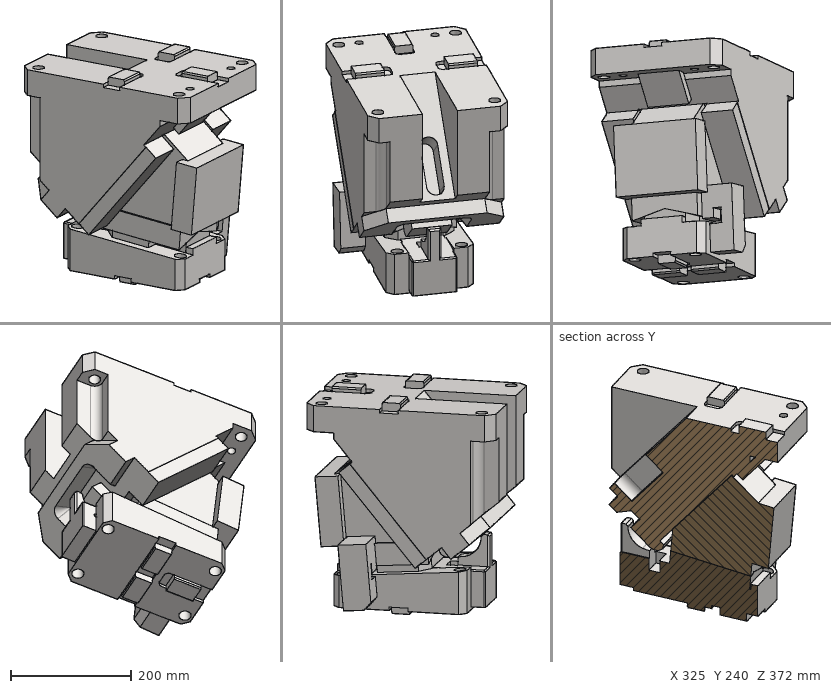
import cadquery as cq
import math


SLIDE_ANGLE = math.radians(50)
RIDGE_ANGLE = math.radians(5)
ROOF_ANGLE = math.radians(15)

SLIDE_X, SLIDE_Z = 116.0, 110.5
RIDGE_X, RIDGE_Z = 127.0, 88.0

ALONG_SLIDE = cq.Vector(math.cos(SLIDE_ANGLE), 0, math.sin(SLIDE_ANGLE))
OUT_OF_SLIDE = cq.Vector(math.sin(SLIDE_ANGLE), 0, -math.cos(SLIDE_ANGLE))
ALONG_RIDGE = cq.Vector(math.cos(RIDGE_ANGLE), 0, -math.sin(RIDGE_ANGLE))
ABOVE_RIDGE = cq.Vector(math.sin(RIDGE_ANGLE), 0, math.cos(RIDGE_ANGLE))
SLIDE_ORIGIN = cq.Vector(SLIDE_X, 0, SLIDE_Z)
RIDGE_ORIGIN = cq.Vector(RIDGE_X, 0, RIDGE_Z)


def slide_point(along, out):
    """(X, Z) of a point given along and out of the slideway."""
    point = SLIDE_ORIGIN + ALONG_SLIDE * along + OUT_OF_SLIDE * out
    return point.x, point.z


def ridge_point(along, above):
    """(X, Z) of a point given along and above the ridge."""
    point = RIDGE_ORIGIN + ALONG_RIDGE * along + ABOVE_RIDGE * above
    return point.x, point.z


def side_prism(points, y_low, y_high):
    """An (X, Z) outline made solid between two Y positions."""
    return cq.Workplane("XZ", origin=(0, y_low, 0)).polyline(points).close().extrude(y_low - y_high)


def box(x_low, x_high, y_low, y_high, z_low, z_high):
    size = (x_high - x_low, y_high - y_low, z_high - z_low)
    return cq.Workplane("XY").box(*size, centered=False).translate((x_low, y_low, z_low))


def ridge_section(along=0):
    """Workplane across the ridge: local x is Y, local y is the height above the ridge."""
    origin = RIDGE_ORIGIN + ALONG_RIDGE * along
    return cq.Workplane(cq.Plane(origin=origin, xDir=(0, 1, 0), normal=ALONG_RIDGE))


KEY_LENGTH = 50.0
KEY_WIDTH = 32.0
KEY_STAND = 8.5
KEY_SEAT = 6.0
KEY_END_ROOM = 15.5
KEY_SLOT_RADIUS = 8.0
KEY_CHAMFER_SIDE, KEY_CHAMFER_HEIGHT = 1.5, 3.0


def key():
    """A key along X with its inner end at X = 0 and its mounting face at Z = 0."""
    half = KEY_WIDTH / 2
    inset = half - KEY_CHAMFER_SIDE
    shoulder = KEY_STAND - KEY_CHAMFER_HEIGHT
    section = [(-half, -KEY_SEAT), (half, -KEY_SEAT), (half, shoulder),
               (inset, KEY_STAND), (-inset, KEY_STAND), (-half, shoulder)]
    return cq.Workplane("YZ").polyline(section).close().extrude(KEY_LENGTH)


def key_slot(open_length):
    """The slot of that key; it runs open_length from the inner end of the key to +X."""
    slot = box(-KEY_END_ROOM, open_length, -KEY_WIDTH / 2, KEY_WIDTH / 2, -KEY_SEAT, KEY_STAND)
    return slot.edges("|Z and <X").fillet(KEY_SLOT_RADIUS)


HEIGHT = 372
PLATE_LENGTH = 325.0
PLATE_WIDTH = 240.0
PLATE_THICKNESS = 45.0
PLATE_TOP = HEIGHT - KEY_STAND
PLATE_BOTTOM = PLATE_TOP - PLATE_THICKNESS
PLATE_CHAMFER = 15.5
HALF_PLATE = PLATE_WIDTH / 2

BODY_RIGHT = 275.0
SLIDEWAY_LENGTH = 204.2
SLIDEWAY_RAISE = 5.2
SLIDER_END = 205.5
CHANNEL_HALF_WIDTH = 62.0
CHANNEL_DEPTH = 9.0

LUG_START, LUG_THICKNESS, LUG_HALF_WIDTH = 215.0, 14.0, 37.2

GIB_THICKNESS = 25.0
GIB_INSET = 0.7

STOP_THICKNESS = 25.0
STOP_TOP, STOP_BOTTOM = -111.2, -34.5
STOP_CHAMFER = 35.5
RECESS_TOP = -92.5
RECESS_HALF_WIDTH, RECESS_FLOOR_HALF_WIDTH = 64.0, 49.5
RECESS_RADIUS = 15.5

NOSE_TOP, NOSE_BOTTOM = -58.5, 3.7
NOSE_REACH = 25.5
NOSE_HALF_WIDTH = 34.2
NOSE_RADIUS = 18.0

BOLT_INSET_X, BOLT_SPACING_X, BOLT_Y = 25.3, 275.0, 100.0
BOLT_DIAMETER = 19.5
BOLT_ROOM = 15.0
DOWEL_DIAMETER, DOWEL_Y = 13.5, 65.0

TROUGH_HALF_WIDTH = 30.0
TROUGH_FLOOR = -131.0
POCKET_CENTRE, POCKET_LENGTH, POCKET_WIDTH, POCKET_DEPTH = 60.0, 100.5, 30.0, 41.3

SIDE_KEY_X = 180.0
SIDE_KEY_INNER_Y = 54.5
END_KEY_INNER_X = 254.0


def slideway_x(z, out):
    """X where the line at a distance out of the slideway reaches height z."""
    start_x, start_z = slide_point(0, out)
    return start_x + (z - start_z) / math.tan(SLIDE_ANGLE)


def holder_blank():
    plate = box(0, PLATE_LENGTH, -HALF_PLATE, HALF_PLATE, PLATE_BOTTOM, PLATE_TOP)
    plate = plate.edges("|Z").chamfer(PLATE_CHAMFER)
    end_face_top = SLIDE_Z + SLIDE_X / math.tan(SLIDE_ANGLE)
    raise_x, raise_z = slide_point(0, -SLIDEWAY_RAISE)
    right_foot = raise_z + (BODY_RIGHT - raise_x) * math.tan(SLIDE_ANGLE)
    outline = [
        (0, PLATE_BOTTOM),
        (0, end_face_top),
        slide_point(0, 0),
        slide_point(SLIDEWAY_LENGTH, 0),
        slide_point(SLIDEWAY_LENGTH, -SLIDEWAY_RAISE),
        (BODY_RIGHT, right_foot),
        (BODY_RIGHT, PLATE_BOTTOM),
    ]
    body = side_prism(outline, -HALF_PLATE, HALF_PLATE)
    for side in (-1, 1):
        body = body.cut(bolt_room(side))
    return plate.union(body)


def bolt_room(side):
    """Corner clearance under the plate, rounded around the bolt."""
    wall_x = BOLT_INSET_X + BOLT_ROOM
    wall_y = BOLT_Y - BOLT_ROOM
    y_low, y_high = sorted((side * wall_y, side * HALF_PLATE))
    room = box(0, wall_x, y_low, y_high, 0, PLATE_BOTTOM)
    inner_edge = "|Z and >X and <Y" if side > 0 else "|Z and >X and >Y"
    return room.edges(inner_edge).fillet(BOLT_ROOM)


def lug():
    outer = LUG_THICKNESS - SLIDEWAY_RAISE
    outline = [
        slide_point(LUG_START, -SLIDEWAY_RAISE),
        slide_point(LUG_START, outer),
        (slideway_x(PLATE_BOTTOM, outer), PLATE_BOTTOM),
        (slideway_x(PLATE_BOTTOM, -SLIDEWAY_RAISE), PLATE_BOTTOM),
    ]
    return side_prism(outline, -LUG_HALF_WIDTH, LUG_HALF_WIDTH)


def slide_channel():
    outline = [slide_point(0, 0), slide_point(SLIDER_END, 0),
               slide_point(SLIDER_END, -CHANNEL_DEPTH), slide_point(0, -CHANNEL_DEPTH)]
    return side_prism(outline, -CHANNEL_HALF_WIDTH, CHANNEL_HALF_WIDTH)


def gib(side):
    outline = [slide_point(0, 0), slide_point(SLIDEWAY_LENGTH, 0),
               slide_point(SLIDEWAY_LENGTH, GIB_THICKNESS), slide_point(0, GIB_THICKNESS)]
    y_low, y_high = sorted((side * CHANNEL_HALF_WIDTH, side * (HALF_PLATE - GIB_INSET)))
    return side_prism(outline, y_low, y_high)


def stop_plate():
    """Plate on the lower end face, with cut upper corners and a flared recess below."""
    outer_face = SLIDE_ORIGIN - ALONG_SLIDE * STOP_THICKNESS
    plane = cq.Plane(origin=outer_face, xDir=OUT_OF_SLIDE, normal=ALONG_SLIDE)
    shoulder = HALF_PLATE - STOP_CHAMFER
    outline = [
        (STOP_BOTTOM, -HALF_PLATE),
        (STOP_BOTTOM, HALF_PLATE),
        (STOP_TOP + STOP_CHAMFER, HALF_PLATE),
        (STOP_TOP, shoulder),
        (STOP_TOP, -shoulder),
        (STOP_TOP + STOP_CHAMFER, -HALF_PLATE),
    ]
    plate = cq.Workplane(plane).polyline(outline).close().extrude(STOP_THICKNESS)
    flare = math.degrees(math.atan((RECESS_HALF_WIDTH - RECESS_FLOOR_HALF_WIDTH) / STOP_THICKNESS))
    recess_outline = (
        cq.Sketch()
        .push([(RECESS_TOP / 2, 0)])
        .rect(-RECESS_TOP, 2 * RECESS_HALF_WIDTH)
        .reset()
        .vertices()
        .fillet(RECESS_RADIUS)
    )
    recess = cq.Workplane(plane).placeSketch(recess_outline).extrude(STOP_THICKNESS, taper=flare)
    return plate.cut(recess)


def nose():
    """Rounded block in the middle of the lower end face."""
    turn = math.sqrt(0.5) * NOSE_RADIUS
    centre_along, centre_out = NOSE_RADIUS - NOSE_REACH, NOSE_BOTTOM - NOSE_RADIUS
    outline = (
        cq.Workplane("XZ", origin=(0, NOSE_HALF_WIDTH, 0))
        .moveTo(*slide_point(0, NOSE_TOP))
        .lineTo(*slide_point(-NOSE_REACH, NOSE_TOP))
        .lineTo(*slide_point(-NOSE_REACH, centre_out))
        .threePointArc(slide_point(centre_along - turn, centre_out + turn),
                       slide_point(centre_along, NOSE_BOTTOM))
        .lineTo(*slide_point(0, 0))
        .close()
    )
    return outline.extrude(2 * NOSE_HALF_WIDTH)


def trough():
    floor_top_x = slideway_x(PLATE_TOP, TROUGH_FLOOR)
    floor_start_x, floor_start_z = slide_point(0, TROUGH_FLOOR)
    outline = [(floor_top_x, PLATE_TOP), (floor_start_x, floor_start_z), (0, floor_start_z), (0, PLATE_TOP)]
    return side_prism(outline, -TROUGH_HALF_WIDTH, TROUGH_HALF_WIDTH)


def trough_pocket():
    floor = SLIDE_ORIGIN + OUT_OF_SLIDE * TROUGH_FLOOR + ALONG_SLIDE * POCKET_CENTRE
    plane = cq.Plane(origin=floor, xDir=ALONG_SLIDE, normal=OUT_OF_SLIDE)
    return cq.Workplane(plane).slot2D(POCKET_LENGTH, POCKET_WIDTH).extrude(POCKET_DEPTH)


def plate_holes():
    right_x = BOLT_INSET_X + BOLT_SPACING_X
    bolt_places = [(x, y) for x in (BOLT_INSET_X, right_x) for y in (-BOLT_Y, BOLT_Y)]
    dowel_places = [(right_x, -DOWEL_Y), (right_x, DOWEL_Y)]
    plane = cq.Workplane("XY", origin=(0, 0, PLATE_BOTTOM))
    bolts = plane.pushPoints(bolt_places).circle(BOLT_DIAMETER / 2).extrude(PLATE_THICKNESS)
    dowels = plane.pushPoints(dowel_places).circle(DOWEL_DIAMETER / 2).extrude(PLATE_THICKNESS)
    return bolts.union(dowels)


def place_top_keys(end_shape, side_shape):
    """Put shapes at the end key and the two side keys of the plate."""
    end = end_shape.translate((END_KEY_INNER_X, 0, PLATE_TOP))
    turned_left = side_shape.rotate((0, 0, 0), (0, 0, 1), 90)
    turned_right = side_shape.rotate((0, 0, 0), (0, 0, 1), -90)
    left = turned_left.translate((SIDE_KEY_X, SIDE_KEY_INNER_Y, PLATE_TOP))
    right = turned_right.translate((SIDE_KEY_X, -SIDE_KEY_INNER_Y, PLATE_TOP))
    return end, left, right


def make_holder():
    holder = holder_blank().union(lug()).cut(slide_channel())
    for side in (-1, 1):
        holder = holder.union(gib(side))
    holder = holder.cut(trough()).cut(trough_pocket()).cut(plate_holes())
    holder = holder.union(stop_plate()).union(nose())
    end_slot = key_slot(PLATE_LENGTH - END_KEY_INNER_X)
    side_slot = key_slot(HALF_PLATE - SIDE_KEY_INNER_Y)
    for slot in place_top_keys(end_slot, side_slot):
        holder = holder.cut(slot)
    for top_key in place_top_keys(key(), key()):
        holder = holder.union(top_key)
    return holder


SHOE_LENGTH, SHOE_HEIGHT, SHOE_HALF_WIDTH = 148.8, 38.5, 59.5
NECK_HALF_WIDTH = 55.8
BACK_START, BACK_THICKNESS, BACK_HEIGHT, BACK_HALF_WIDTH = 139.0, 39.8, 119.8, 74.5
ROOF_RISE = SHOE_HALF_WIDTH * math.tan(ROOF_ANGLE)

HOOK_START, HOOK_LENGTH = 89.3, 48.5
HOOK_OUTER_Y, HOOK_TOP, HOOK_BOTTOM = 118.3, 50.2, -62.5
HOOK_TOE_Y, HOOK_TOE_TOP = 76.0, -14.5
HOOK_LEG_INNER_Y = 97.5
HOOK_TONGUE_INNER_Y, HOOK_TONGUE_OUTER_Y, HOOK_TONGUE_BOTTOM = 63.0, 94.5, -5.0
HOOK_SLIT_TOP = 11.5
HOOK_TONGUE_STEP_Y = 83.5
HOOK_TONGUE_STEP_LENGTH = 18.5
HOOK_CHAMFER = 13.0


def shoe():
    """Lower part of the slider with the roof-shaped groove that rides on the ridge."""
    section = [(-SHOE_HALF_WIDTH, 0), (0, ROOF_RISE), (SHOE_HALF_WIDTH, 0),
               (SHOE_HALF_WIDTH, SHOE_HEIGHT), (-SHOE_HALF_WIDTH, SHOE_HEIGHT)]
    return ridge_section().polyline(section).close().extrude(SHOE_LENGTH)


def neck():
    """Wedge between the shoe and the slideway; its end face meets the top of the back plate."""
    corner_out = (RIDGE_ORIGIN - SLIDE_ORIGIN).dot(OUT_OF_SLIDE)
    rise_to_slide = (corner_out + CHANNEL_DEPTH) / -ABOVE_RIDGE.dot(OUT_OF_SLIDE)
    back_top = SHOE_HEIGHT + BACK_HEIGHT
    back_corner = RIDGE_ORIGIN + ALONG_RIDGE * BACK_START + ABOVE_RIDGE * back_top
    to_slider_end = SLIDE_ORIGIN + ALONG_SLIDE * SLIDER_END - back_corner
    end_out = -to_slider_end.dot(ABOVE_RIDGE) / OUT_OF_SLIDE.dot(ABOVE_RIDGE)
    outline = [
        ridge_point(0, SHOE_HEIGHT),
        ridge_point(0, rise_to_slide),
        slide_point(SLIDER_END, -CHANNEL_DEPTH),
        slide_point(SLIDER_END, end_out),
        ridge_point(BACK_START + BACK_THICKNESS / 2, SHOE_HEIGHT + BACK_HEIGHT / 2),
        ridge_point(BACK_START, SHOE_HEIGHT),
    ]
    return side_prism(outline, -NECK_HALF_WIDTH, NECK_HALF_WIDTH)


def back_plate():
    section = ridge_section(BACK_START).center(0, SHOE_HEIGHT + BACK_HEIGHT / 2)
    return section.rect(2 * BACK_HALF_WIDTH, BACK_HEIGHT).extrude(BACK_THICKNESS)


def tongue_step():
    """Space behind the shortened outer part of the tongue."""
    start = HOOK_START + HOOK_TONGUE_STEP_LENGTH
    end = HOOK_START + HOOK_LENGTH
    outline = [ridge_point(start, HOOK_TONGUE_BOTTOM), ridge_point(end, HOOK_TONGUE_BOTTOM),
               ridge_point(end, HOOK_SLIT_TOP), ridge_point(start, HOOK_SLIT_TOP)]
    return side_prism(outline, HOOK_TONGUE_STEP_Y, HOOK_TONGUE_OUTER_Y)


def return_hook():
    """Hook on the +Y side that reaches down beside the base."""
    section = [
        (0, SHOE_HEIGHT),
        (HOOK_TONGUE_INNER_Y, SHOE_HEIGHT),
        (HOOK_TONGUE_INNER_Y, HOOK_TONGUE_BOTTOM),
        (HOOK_TONGUE_OUTER_Y, HOOK_TONGUE_BOTTOM),
        (HOOK_TONGUE_OUTER_Y, HOOK_SLIT_TOP),
        (HOOK_LEG_INNER_Y, HOOK_SLIT_TOP),
        (HOOK_LEG_INNER_Y, HOOK_TOE_TOP),
        (HOOK_TOE_Y, HOOK_TOE_TOP),
        (HOOK_TOE_Y, HOOK_BOTTOM),
        (HOOK_OUTER_Y, HOOK_BOTTOM),
        (HOOK_OUTER_Y, HOOK_TOP),
        (0, HOOK_TOP),
    ]
    hook = ridge_section(HOOK_START).polyline(section).close().extrude(HOOK_LENGTH)
    corner = [
        ridge_point(HOOK_START, HOOK_BOTTOM),
        ridge_point(HOOK_START, HOOK_BOTTOM + HOOK_CHAMFER),
        ridge_point(HOOK_START + HOOK_CHAMFER, HOOK_BOTTOM),
    ]
    return hook.cut(side_prism(corner, HOOK_TOE_Y, HOOK_OUTER_Y)).cut(tongue_step())


def make_slider():
    return shoe().union(neck()).union(back_plate()).union(return_hook())


BASE_LEFT, BASE_RIGHT = 60.0, 289.0
BASE_HALF_WIDTH = 75.0
BASE_BOTTOM = KEY_STAND
BASE_CHAMFER = 12.0
RIDGE_PLATE_HEIGHT = 11.5
RIDGE_PLATE_SINK = 3.7
RIDGE_PLATE_CHAMFER = 18.5
RIDGE_WIDE_LENGTH, RIDGE_NARROW_HALF_WIDTH = 89.5, 37.2
BASE_BOLT_INSET, BASE_BOLT_Y, BASE_BOLT_DIAMETER = 14.0, 55.0, 20.0

END_BLOCK_LEFT, END_BLOCK_TOP, END_BLOCK_HALF_WIDTH = 275.3, 73.5, 37.2

BLOCK_LEFT, BLOCK_HALF_WIDTH = 35.0, 38.7
BLOCK_BOTTOM, BLOCK_TOP = 14.0, 77.7
EDGE_CHAMFER = 2.2
PIN_HOLE_Z, PIN_HOLE_RADIUS, PIN_HOLE_DEPTH = 53.0, 3.7, 7.5

FIN_HALF_WIDTH, FIN_TOP, FIN_RIGHT = 10.8, 132.5, 89.0
FIN_NECK_X, FIN_NECK_Z = 49.5, 126.5
FIN_CURVE_X, FIN_CURVE_Z = 58.5, 104.0
FIN_FOOT_X, FIN_FOOT_Z = 76.3, 93.5
FIN_END_Z = 91.5
FIN_TIP_CHAMFER = 3.7
FIN_CHAMFER = 3.0
RELIEF_LENGTH, RELIEF_HALF_WIDTH, RELIEF_DEPTH = 19.0, 14.0, 22.5

BASE_SIDE_KEY_X, BASE_SIDE_KEY_INNER_Y = 175.0, 10.5
BASE_END_KEY_INNER_X = 218.7


def base_top(x):
    """Height of the sloping base top at x."""
    x_start, z_start = ridge_point(0, -RIDGE_PLATE_HEIGHT)
    return z_start - (x - x_start) * math.tan(RIDGE_ANGLE)


def wedge():
    outline = [(BASE_LEFT, BASE_BOTTOM), (BASE_RIGHT, BASE_BOTTOM),
               (BASE_RIGHT, base_top(BASE_RIGHT)), (BASE_LEFT, base_top(BASE_LEFT))]
    blank = side_prism(outline, -BASE_HALF_WIDTH, BASE_HALF_WIDTH)
    return blank.edges("|Z").chamfer(BASE_CHAMFER)


def ridge_plate():
    low = -RIDGE_PLATE_HEIGHT - RIDGE_PLATE_SINK
    section = [(-SHOE_HALF_WIDTH, low), (SHOE_HALF_WIDTH, low), (SHOE_HALF_WIDTH, 0),
               (0, ROOF_RISE), (-SHOE_HALF_WIDTH, 0)]
    roof = ridge_section().polyline(section).close().extrude(SHOE_LENGTH)
    front_half = SHOE_HALF_WIDTH - RIDGE_PLATE_CHAMFER
    half_plan = [(0, front_half), (RIDGE_PLATE_CHAMFER, SHOE_HALF_WIDTH),
                 (RIDGE_WIDE_LENGTH, SHOE_HALF_WIDTH), (RIDGE_WIDE_LENGTH, RIDGE_NARROW_HALF_WIDTH),
                 (SHOE_LENGTH, RIDGE_NARROW_HALF_WIDTH)]
    plan = half_plan + [(along, -y) for along, y in reversed(half_plan)]
    floor = RIDGE_ORIGIN + ABOVE_RIDGE * low
    plane = cq.Plane(origin=floor, xDir=ALONG_RIDGE, normal=ABOVE_RIDGE)
    return roof.intersect(cq.Workplane(plane).polyline(plan).close().extrude(ROOF_RISE - low))


def front_block():
    """Block at the -X end of the base that carries the fin."""
    block = box(BLOCK_LEFT, RIDGE_X, -BLOCK_HALF_WIDTH, BLOCK_HALF_WIDTH, BLOCK_BOTTOM, BLOCK_TOP)
    return block.edges("(|Z and <X) or (>Z and |X) or (>Z and <X)").chamfer(EDGE_CHAMFER)


def pin_hole():
    """Short cross hole in the -Y side of the block."""
    return (
        cq.Workplane("XZ", origin=(BASE_LEFT, PIN_HOLE_DEPTH - BLOCK_HALF_WIDTH, PIN_HOLE_Z))
        .circle(PIN_HOLE_RADIUS)
        .extrude(PIN_HOLE_DEPTH)
    )


def fin():
    outline = (
        cq.Workplane("XZ", origin=(0, FIN_HALF_WIDTH, 0))
        .moveTo(BLOCK_LEFT, BLOCK_TOP - EDGE_CHAMFER)
        .lineTo(BLOCK_LEFT, FIN_TOP)
        .lineTo(FIN_NECK_X - FIN_TIP_CHAMFER, FIN_TOP)
        .lineTo(FIN_NECK_X, FIN_TOP - FIN_TIP_CHAMFER)
        .lineTo(FIN_NECK_X, FIN_NECK_Z)
        .threePointArc((FIN_CURVE_X, FIN_CURVE_Z), (FIN_FOOT_X, FIN_FOOT_Z))
        .lineTo(FIN_RIGHT, FIN_END_Z)
        .lineTo(FIN_RIGHT, BLOCK_TOP - EDGE_CHAMFER)
        .close()
    )
    return outline.extrude(2 * FIN_HALF_WIDTH).faces("<X").edges("|Z or >Z").chamfer(FIN_CHAMFER)


def fin_relief():
    """Small pocket in the block behind the fin."""
    return box(FIN_RIGHT, FIN_RIGHT + RELIEF_LENGTH, -RELIEF_HALF_WIDTH, RELIEF_HALF_WIDTH,
               BLOCK_TOP - RELIEF_DEPTH, BLOCK_TOP)


def base_holes():
    left_x, right_x = BASE_LEFT + BASE_BOLT_INSET, BASE_RIGHT - BASE_BOLT_INSET
    places = [(x, y) for x in (left_x, right_x) for y in (-BASE_BOLT_Y, BASE_BOLT_Y)]
    plane = cq.Workplane("XY", origin=(0, 0, BASE_BOTTOM))
    return plane.pushPoints(places).circle(BASE_BOLT_DIAMETER / 2).extrude(base_top(BASE_LEFT))


def place_under_base(shape, turn, x, y):
    """Turn a key shape upside down and put it on the base bottom."""
    flipped = shape.rotate((0, 0, 0), (1, 0, 0), 180)
    return flipped.rotate((0, 0, 0), (0, 0, 1), turn).translate((x, y, BASE_BOTTOM))


def make_base():
    seat = box(BASE_LEFT, RIDGE_X, -BLOCK_HALF_WIDTH, BLOCK_HALF_WIDTH, BLOCK_TOP, FIN_TOP)
    end_block = box(END_BLOCK_LEFT, BASE_RIGHT, -END_BLOCK_HALF_WIDTH, END_BLOCK_HALF_WIDTH,
                    BASE_BOTTOM, END_BLOCK_TOP)
    base = wedge().cut(seat).cut(base_holes()).union(ridge_plate()).union(end_block)
    base = base.union(front_block()).union(fin()).cut(pin_hole()).cut(fin_relief())
    end_slot = key_slot(BASE_RIGHT - BASE_END_KEY_INNER_X)
    side_slot = key_slot(BASE_HALF_WIDTH - BASE_SIDE_KEY_INNER_Y)
    key_places = [
        (end_slot, 0, BASE_END_KEY_INNER_X, 0),
        (side_slot, 90, BASE_SIDE_KEY_X, BASE_SIDE_KEY_INNER_Y),
        (side_slot, -90, BASE_SIDE_KEY_X, -BASE_SIDE_KEY_INNER_Y),
    ]
    for slot, turn, x, y in key_places:
        base = base.cut(place_under_base(slot, turn, x, y))
    for _, turn, x, y in key_places:
        base = base.union(place_under_base(key(), turn, x, y))
    return base


holder = make_holder()
slider = make_slider()
base = make_base()
result = cq.Compound.makeCompound([body.solids().val() for body in (holder, slider, base)])